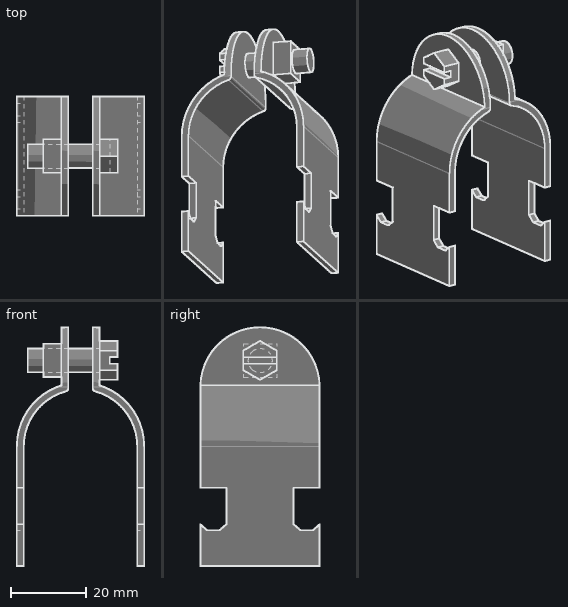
import cadquery as cq
import math

clamp_width = 33.9
strip_depth = 31.75
total_height = 63.5
thickness = 1.9
tab_gap = 6.4
bend_center_z = 31.9
root_fillet = 0.95

outer_radius = clamp_width / 2
inner_radius = outer_radius - thickness
tab_inner_x = tab_gap / 2
tab_outer_x = tab_inner_x + thickness
tab_radius = strip_depth / 2
tab_center_z = total_height - tab_radius

notch_depth = 6.9
notch_top_z = 20.75
notch_bottom_z = 9.5
notch_corner_width = 1.85
notch_corner_height = 1.6

bolt_z = 54.7
bolt_diameter = 6.4
bolt_end_x = -14.05
head_across_flats = 8.95
head_length = 4.75
slot_width = 1.8
slot_depth = 2.1
nut_size = 8.95
nut_length = 4.75

head_corner_radius = head_across_flats / math.sqrt(3)


def point_on_bend(radius, angle):
    """XZ point on a circle about the bend center, angle measured from +X."""
    return radius * math.cos(angle), bend_center_z + radius * math.sin(angle)


def strip_blank():
    """Constant-section right-hand strip: leg, quarter bend and upright tab."""
    outer_end_angle = math.acos(tab_outer_x / outer_radius)
    inner_end_angle = math.acos(tab_inner_x / inner_radius)
    blank = (
        cq.Workplane("XZ")
        .moveTo(inner_radius, 0)
        .lineTo(outer_radius, 0)
        .lineTo(outer_radius, bend_center_z)
        .threePointArc(
            point_on_bend(outer_radius, outer_end_angle / 2),
            point_on_bend(outer_radius, outer_end_angle),
        )
        .lineTo(tab_outer_x, total_height)
        .lineTo(tab_inner_x, total_height)
        .lineTo(*point_on_bend(inner_radius, inner_end_angle))
        .threePointArc(
            point_on_bend(inner_radius, inner_end_angle / 2),
            (inner_radius, bend_center_z),
        )
        .close()
        .extrude(strip_depth / 2, both=True)
    )
    root_x, root_z = point_on_bend(inner_radius, inner_end_angle)
    root_edge = cq.selectors.NearestToPointSelector((root_x, 0, root_z))
    return blank.edges("|Y").edges(root_edge).fillet(root_fillet)


def side_outline():
    """Strip outline in YZ, extruded across X: round top and four-sided notches."""
    half = strip_depth / 2
    neck = half - notch_depth
    corner_z = notch_bottom_z + notch_corner_height
    return (
        cq.Workplane("YZ")
        .moveTo(-half, 0)
        .lineTo(half, 0)
        .lineTo(half, corner_z)
        .lineTo(half - notch_corner_width, notch_bottom_z)
        .lineTo(neck + notch_corner_width, notch_bottom_z)
        .lineTo(neck, corner_z)
        .lineTo(neck, notch_top_z)
        .lineTo(half, notch_top_z)
        .lineTo(half, tab_center_z)
        .threePointArc((0, total_height), (-half, tab_center_z))
        .lineTo(-half, notch_top_z)
        .lineTo(-neck, notch_top_z)
        .lineTo(-neck, corner_z)
        .lineTo(-neck - notch_corner_width, notch_bottom_z)
        .lineTo(-half + notch_corner_width, notch_bottom_z)
        .lineTo(-half, corner_z)
        .close()
        .extrude(outer_radius)
    )


def bolt_plane(x):
    """Workplane facing +X, centered on the bolt axis at the given X."""
    return cq.Workplane("YZ", origin=(x, 0, bolt_z))


def make_clamp_half():
    bolt_hole = bolt_plane(0).circle(bolt_diameter / 2).extrude(outer_radius)
    return strip_blank().intersect(side_outline()).cut(bolt_hole)


def make_bolt():
    """Slotted hexagon-head bolt, head corners pointing up and down."""
    shank = bolt_plane(bolt_end_x).circle(bolt_diameter / 2).extrude(tab_outer_x - bolt_end_x)
    head = (
        bolt_plane(tab_outer_x)
        .transformed(rotate=(0, 0, 90))
        .polygon(6, 2 * head_corner_radius)
        .extrude(head_length)
    )
    slot = (
        bolt_plane(tab_outer_x + head_length)
        .rect(2 * head_across_flats, slot_width)
        .extrude(-slot_depth)
    )
    return shank.union(head).cut(slot)


def make_nut():
    return (
        bolt_plane(-tab_outer_x - nut_length)
        .rect(nut_size, nut_size)
        .circle(bolt_diameter / 2)
        .extrude(nut_length)
    )


right_half = make_clamp_half()
clamp_halves = [right_half, right_half.mirror("YZ")]
bolt = make_bolt()
nut = make_nut()

result = cq.Compound.makeCompound([*(half.val() for half in clamp_halves), bolt.val(), nut.val()])